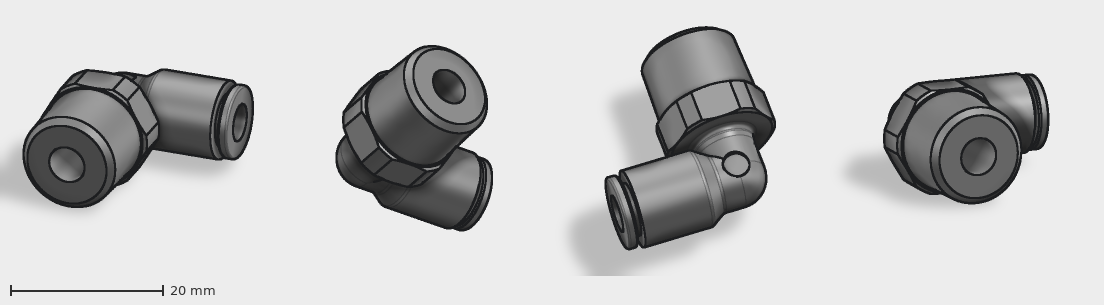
import cadquery as cq
import math


elbow_radius = 4.0
bore_radius = 2.5
spot_radius = 1.75
spot_height = 3.47

body_radius = 5.28
cone_start = 2.93
cone_end = 4.9
cone_blend = 0.76
body_end = 14.4
neck_radius = 3.6
collar_start = 15.22
collar_end = 16.55
collar_radius = 4.95
collar_edge = 0.25

stem_taper_start = 4.13
stem_taper_end = 4.82
stem_radius = 4.15
stem_fillet = 0.7
hex_start = 5.75
hex_length = 5.0
hex_across_flats = 14.0
hex_corner_radius = 7.5
hex_chamfer_angle = 30
hex_sides = 6
leg_length = 20.22
thread_root_radius = 6.75
thread_taper = 1 / 32
thread_end_chamfer = 0.9
hex_end = hex_start + hex_length


def tube_leg():
    """Stem, conical shoulder, body, neck and release collar around the X axis."""
    body = (
        cq.Workplane("XY")
        .moveTo(0, 0)
        .lineTo(0, elbow_radius)
        .lineTo(cone_start, elbow_radius)
        .lineTo(cone_end, body_radius)
        .lineTo(body_end, body_radius)
        .lineTo(body_end, 0)
        .close()
        .revolve(360, (0, 0, 0), (1, 0, 0))
    )
    for shoulder in (cone_start, cone_end):
        body = body.edges(cq.NearestToPointSelector((shoulder, 0, 0))).fillet(cone_blend)

    neck = cq.Workplane("YZ").workplane(offset=body_end).circle(neck_radius).extrude(collar_start - body_end)
    collar = (
        cq.Workplane("YZ")
        .workplane(offset=collar_start)
        .circle(collar_radius)
        .extrude(collar_end - collar_start)
        .faces("<X")
        .chamfer(collar_edge)
        .faces(">X")
        .edges()
        .fillet(collar_edge)
    )
    return body.union(neck).union(collar)


def stem():
    """Lower elbow leg that widens and flares into the hexagon."""
    flare_start = hex_start - stem_fillet
    flare_radius = stem_radius + stem_fillet
    to_arc_middle = stem_fillet * math.sqrt(0.5)
    return (
        cq.Workplane("XY")
        .moveTo(0, 0)
        .lineTo(elbow_radius, 0)
        .lineTo(elbow_radius, -stem_taper_start)
        .lineTo(stem_radius, -stem_taper_end)
        .lineTo(stem_radius, -flare_start)
        .threePointArc(
            (flare_radius - to_arc_middle, -flare_start - to_arc_middle),
            (flare_radius, -hex_start),
        )
        .lineTo(0, -hex_start)
        .close()
        .revolve(360, (0, 0, 0), (0, 1, 0))
    )


def hexagon():
    """Wrench hexagon with corners on the X axis, turned round and chamfered at both ends."""
    across_corners = hex_across_flats / math.cos(math.pi / hex_sides)
    face_radius = hex_across_flats / 2
    chamfer_height = (hex_corner_radius - face_radius) * math.tan(math.radians(hex_chamfer_angle))
    prism = (
        cq.Workplane("XZ")
        .workplane(offset=hex_start)
        .polygon(hex_sides, across_corners)
        .extrude(hex_length)
    )
    turned_blank = (
        cq.Workplane("XY")
        .moveTo(0, -hex_start)
        .lineTo(face_radius, -hex_start)
        .lineTo(hex_corner_radius, -hex_start - chamfer_height)
        .lineTo(hex_corner_radius, -hex_end + chamfer_height)
        .lineTo(face_radius, -hex_end)
        .lineTo(0, -hex_end)
        .close()
        .revolve(360, (0, 0, 0), (0, 1, 0))
    )
    return prism.intersect(turned_blank)


def thread():
    """Plain taper thread envelope with a 45 degree lead-in chamfer."""
    chamfer_start = leg_length - thread_end_chamfer
    tip_radius = thread_root_radius - (chamfer_start - hex_end) * thread_taper
    return (
        cq.Workplane("XY")
        .moveTo(0, -hex_end)
        .lineTo(thread_root_radius, -hex_end)
        .lineTo(tip_radius, -chamfer_start)
        .lineTo(tip_radius - thread_end_chamfer, -leg_length)
        .lineTo(0, -leg_length)
        .close()
        .revolve(360, (0, 0, 0), (0, 1, 0))
    )


def bore():
    """Flow passage: two straight bores that meet in a round corner."""
    towards_tube = cq.Workplane("YZ").circle(bore_radius).extrude(collar_end)
    towards_thread = cq.Workplane("XZ").circle(bore_radius).extrude(leg_length)
    corner = cq.Workplane("XY").sphere(bore_radius)
    return towards_tube.union(towards_thread).union(corner)


def marking_spot():
    """Round flat-bottomed recess on top of the elbow."""
    depth = elbow_radius - spot_height
    return cq.Workplane("XY").workplane(offset=spot_height).circle(spot_radius).extrude(depth)


elbow = cq.Workplane("XY").sphere(elbow_radius)
fitting = elbow.union(tube_leg()).union(stem()).union(hexagon()).union(thread())
result = fitting.cut(bore()).cut(marking_spot())